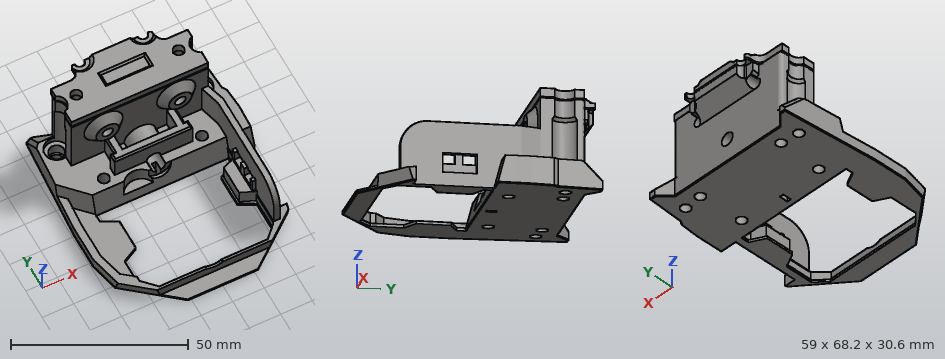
import cadquery as cq
import math


rear_y = 17.5
lip_front_y = -50.65
clearance = 2.05
base_top_z = 8.2
rim_top_z = 3.95
underside_chamfer = 0.3
floor_z = 0.9
block_top_z = 27.75
plate_top_z = 30.6

base_half_width = 29.45
tail_y = 16.85
tail_outer_x = 27.2
tail_inner_x = 25.1
tail_rear_z = 2.5
tail_bevel = 1.5
tail_bevel_width = 1.15
base_front_top_y = -11.45
base_front_bottom_y = -13.6
corner_cut_top_y = -3.5
corner_cut_bottom_y = -5.65
base_widest_y = -4.1
base_shoulder = [(28.9, 2.6), (28.0, 3.95)]
right_taper = 0.3
opening_half_width = 21.0

rim_half_width = 29.5
rim_straight_y = (-16.5, -28.35)
rim_side_slope = 0.24
rim_front_y = -45.75
rim_front_top_x = 18.3
rim_front_bottom_x = 17.2
rim_diagonal_slope = 0.81
rim_inner_front_y = -44.85
rim_width = 2.45
rim_inner_corner = (-25.1, -36.05)
rim_inner_x = 21.2
rim_inner_y = -39.1
rim_rear_y = -3.4
right_gap_front_y = -36.7

opening_front_y = -44.4
opening_corner = (17.2, -40.7)
tab_tip_x = 16.1
tab_tip_y = (-18.55, -28.5)
tab_root_y = (-16.0, -31.1)

wall_inner_x = 21.5
wall_outer_x = 23.45
wall_top_z = 18.7
wall_front_y = -40.35
wall_bend_y = (-5.8, -6.5)
wall_root_x = (19.6, 21.7)
wall_corner_radius = 7.85
latch_tip_x = 16.8
latch_tip_y = (-18.8, -28.2)
latch_root_y = (-16.9, -30.2)
latch_top_z = 5.6
latch_frame_x = 20.3
latch_frame_y = (-29.4, -17.2)
latch_frame_top_z = 10.3
window_z = (6.75, 9.6)
window_spans = ((-22.3, -18.5), (-28.3, -24.5))
wall_pocket_x = 22.3

block_half_width = 21.7
block_rear_y = 12.9
block_rear_radius = 1.35
nose_x = 11.5
nose_radius = 6.15
nose_tip_radius = 3.6
nose_z = block_top_z - nose_radius
bolt_diameter = 3.4
overhang_z = 24.55
overhang_half_width = 12.75
brace_inset = 0.8
ear_clearance_y = 15.3

guard_half_width = 12.35
guard_y = (-8.4, -5.6)
guard_rear_y = -5.85
guard_arm_x = (8.6, 11.2)
guard_top_z = 15.4
guard_chamfer = 0.55
hub_radius = 5.0
hub_bore_diameter = 4.4
hub_recess_diameter = 7.9
drain_width = 1.35
drain_rear_y = -8.5
scoop_x = -7.0
scoop_y = -14.65
scoop_radius = 5.05
scoop_floor_z = 3.4

plate_bolt = (16.2, 7.6)
front_bolt = (15.55, -8.0)
side_bolt = (22.8, 6.95)
side_recess_diameter = 7.5
side_recess_floor_z = 6.5
side_step_diameter = 4.7
side_step_floor_z = 2.7
side_relief_diameter = 6.2
side_relief_z = (21.55, 22.6)

plate_rear_y = 12.55
plate_seat_chamfer = 0.35
neck_radius = 2.7
ear_radius = 0.7
notch_x = 10.0
notch_diameter = 3.15
notch_seat_radius = 2.9
notch_seat_depth = 1.1
label_half_width = 7.5
label_y = (6.3, 11.2)
label_depth = 0.5
label_slope_width = 0.7


def prism(points, bottom, top):
    return cq.Workplane("XY").workplane(offset=bottom).polyline(points).close().extrude(top - bottom)


def box(x, y, z):
    """Box from (low, high) pairs along each axis."""
    size = (x[1] - x[0], y[1] - y[0], z[1] - z[0])
    return cq.Workplane("XY").box(*size, centered=False).translate((x[0], y[0], z[0]))


def upright_cylinder(center, diameter, bottom, top):
    plane = cq.Workplane("XY", origin=(*center, bottom))
    return plane.circle(diameter / 2).extrude(top - bottom)


def lengthwise_cylinder(x, z, radius, front, rear):
    return cq.Workplane("XZ", origin=(x, rear, z)).circle(radius).extrude(rear - front)


def tapered(bottom_points, top_points, bottom, top):
    """Solid with flat sides between two outlines that have matching corners."""
    lower = cq.Workplane("XY").workplane(offset=bottom).polyline(bottom_points).close()
    return lower.workplane(offset=top - bottom).polyline(top_points).close().loft(ruled=True)


def mirrored(right_points):
    """Closed symmetric outline from its right half, listed front to rear."""
    return right_points + [(-x, y) for x, y in reversed(right_points)]


def left_edge_x(y):
    """Left outer edge of the base and the rim behind the straight stretch."""
    slope = (rim_half_width - tail_outer_x) / (tail_y - rim_straight_y[0])
    return -tail_outer_x - slope * (tail_y - y)


def rim_corner(front_x):
    """Corner between the side facet and the diagonal facet that starts at front_x."""
    start_x = rim_half_width - rim_side_slope * (rim_straight_y[1] - rim_front_y)
    x = (start_x - rim_side_slope * rim_diagonal_slope * front_x) / (1 - rim_side_slope * rim_diagonal_slope)
    return x, rim_front_y + rim_diagonal_slope * (x - front_x)


def rim_side(front_x):
    return [
        rim_corner(front_x),
        (rim_half_width, rim_straight_y[1]),
        (rim_half_width, rim_straight_y[0]),
        (-left_edge_x(rim_rear_y), rim_rear_y),
    ]


def rim_outline(front_x):
    return mirrored([(front_x, rim_front_y)] + rim_side(front_x))


def make_rim():
    lip_front_x = rim_front_bottom_x - (rim_front_y - lip_front_y) / rim_diagonal_slope
    plate = mirrored([(lip_front_x, lip_front_y)] + rim_side(rim_front_bottom_x))
    rim = prism(plate, 0, floor_z).faces("<Z").chamfer(underside_chamfer)
    bottom_outline = rim_outline(rim_front_bottom_x)
    top_outline = rim_outline(rim_front_top_x)
    rim = rim.union(tapered(bottom_outline, top_outline, underside_chamfer, rim_top_z))

    inner = [
        (left_edge_x(rim_rear_y) + rim_width, rim_rear_y),
        (-rim_half_width + rim_width, rim_straight_y[0]),
        (-rim_half_width + rim_width, rim_straight_y[1]),
        rim_inner_corner,
        (-rim_inner_x, rim_inner_y),
        (-rim_inner_x, opening_corner[1]),
        (-opening_corner[0], rim_inner_front_y),
        (opening_corner[0], rim_inner_front_y),
        (rim_inner_x, opening_corner[1]),
        (rim_inner_x, rim_rear_y),
    ]
    rim = rim.cut(prism(inner, floor_z, rim_top_z))

    opening = mirrored([
        (opening_corner[0], opening_front_y),
        (opening_half_width, opening_corner[1]),
        (opening_half_width, tab_root_y[1]),
        (tab_tip_x, tab_tip_y[1]),
        (tab_tip_x, tab_tip_y[0]),
        (opening_half_width, tab_root_y[0]),
        (opening_half_width, rim_rear_y),
    ])
    rim = rim.cut(prism(opening, 0, rim_top_z))

    rim = rim.cut(box((wall_outer_x, rim_half_width), (right_gap_front_y, rim_rear_y), (0, rim_top_z)))

    return rim.cut(lengthwise_cylinder(0, base_top_z, hub_radius, rim_front_y, rim_inner_front_y))


def base_outline(front_y, corner_cut_y, right_x):
    return [
        (-tail_outer_x, tail_y),
        (left_edge_x(corner_cut_y), corner_cut_y),
        (-opening_half_width, front_y),
        (right_x, front_y),
        (base_half_width, base_widest_y),
        *base_shoulder,
        (tail_outer_x, tail_y),
        (tail_inner_x, tail_y),
        (tail_inner_x - (tail_y - block_rear_y), block_rear_y),
        (-tail_inner_x + (tail_y - block_rear_y), block_rear_y),
        (-tail_inner_x, tail_y),
    ]


def make_base():
    base = tapered(
        base_outline(base_front_bottom_y, corner_cut_bottom_y, base_half_width),
        base_outline(base_front_top_y, corner_cut_top_y, base_half_width - right_taper),
        0,
        base_top_z,
    )
    base = base.faces("<Z").chamfer(underside_chamfer)
    slope_run = base_top_z - tail_rear_z
    slope = (
        cq.Workplane("YZ", origin=(-base_half_width, 0, 0))
        .polyline([(tail_y - slope_run, base_top_z), (tail_y, base_top_z), (tail_y, tail_rear_z)])
        .close()
        .extrude(2 * base_half_width)
    )
    side_points = [
        (-clearance, -tail_bevel),
        (0, -tail_bevel),
        (tail_bevel_width, 0),
        (tail_bevel_width, clearance),
        (-clearance, clearance),
    ]
    shift = slope_run + tail_bevel
    bevel = (
        cq.Workplane("XZ", origin=(-tail_outer_x, tail_y, tail_rear_z))
        .polyline(side_points)
        .close()
        .workplane(offset=shift)
        .center(left_edge_x(tail_y - shift) + tail_outer_x, shift)
        .polyline(side_points)
        .close()
        .loft(ruled=True)
    )
    return base.cut(slope).cut(bevel)


def make_block():
    block = box((-block_half_width, block_half_width), (0, block_rear_y), (floor_z, block_top_z))
    block = block.edges("|Z and >Y").fillet(block_rear_radius)

    overhang_root_z = overhang_z - (rear_y - block_rear_y)
    overhang = (
        cq.Workplane("YZ", origin=(-overhang_half_width, 0, 0))
        .polyline([
            (block_rear_y, overhang_root_z),
            (rear_y, overhang_z),
            (rear_y, block_top_z),
            (block_rear_y, block_top_z),
        ])
        .close()
        .extrude(2 * overhang_half_width)
    )
    block = block.union(overhang)

    for side in (-1, 1):
        nose = (
            cq.Workplane("XZ", origin=(side * nose_x, 0, nose_z))
            .circle(nose_radius)
            .workplane(offset=nose_radius - nose_tip_radius)
            .circle(nose_tip_radius)
            .loft()
        )
        block = block.union(nose)

        notch_span = sorted((side * notch_x, side * overhang_half_width))
        block = block.cut(box(notch_span, (ear_clearance_y, rear_y), (overhang_root_z, block_top_z)))
        center = (side * notch_x, rear_y)
        block = block.cut(upright_cylinder(center, notch_diameter, overhang_root_z, block_top_z))

        brace_side = (
            cq.Workplane("XZ", origin=(side * overhang_half_width, rear_y, overhang_z))
            .polyline([
                (0, 0),
                (-side * brace_inset, -brace_inset),
                (-side * brace_inset, overhang_root_z - overhang_z),
                (0, overhang_root_z - overhang_z),
            ])
            .close()
            .extrude(rear_y - block_rear_y)
        )
        block = block.cut(brace_side)
    return block


def make_guard():
    z = (base_top_z, guard_top_z)
    guard = box((-guard_half_width, guard_half_width), guard_y, z)
    guard = guard.union(box((-guard_arm_x[1], guard_arm_x[1]), (guard_rear_y, clearance), z))
    guard = guard.faces(">Z").chamfer(guard_chamfer)
    return guard.cut(box((-guard_arm_x[0], guard_arm_x[0]), (guard_rear_y, clearance), z))


def make_wall():
    outline = [
        (wall_root_x[0], 0),
        (wall_root_x[1], 0),
        (wall_outer_x, wall_bend_y[0]),
        (wall_outer_x, wall_front_y),
        (wall_inner_x, wall_front_y),
        (wall_inner_x, wall_bend_y[1]),
    ]
    wall = prism(outline, 0, wall_top_z)
    wall = wall.faces("<Y").edges(">Z").fillet(wall_corner_radius)

    latch_outline = [
        (wall_inner_x, latch_root_y[0]),
        (latch_tip_x, latch_tip_y[0]),
        (latch_tip_x, latch_tip_y[1]),
        (wall_inner_x, latch_root_y[1]),
    ]
    frame = box((latch_frame_x, wall_inner_x), latch_frame_y, (latch_top_z, latch_frame_top_z))
    wall = wall.union(prism(latch_outline, 0, latch_top_z)).union(frame)

    for span in window_spans:
        wall = wall.cut(box((latch_frame_x, wall_outer_x), span, window_z))
        wall = wall.cut(box((latch_frame_x, wall_inner_x), span, (window_z[0], latch_frame_top_z)))
    pocket_y = (window_spans[1][0], window_spans[0][1])
    wall = wall.cut(box((wall_pocket_x, wall_outer_x), pocket_y, (rim_top_z, window_z[1])))
    return wall


def side_relief(side):
    """Clearance above a side bolt: wide below, narrow above, with a cone between."""
    center = (side * side_bolt[0], side_bolt[1])
    wide = side * side_recess_diameter / 2
    narrow = side * side_relief_diameter / 2
    profile = [
        (0, base_top_z),
        (wide, base_top_z),
        (wide, side_relief_z[0]),
        (narrow, side_relief_z[1]),
        (narrow, plate_top_z),
        (0, plate_top_z),
    ]
    relief = cq.Workplane("XZ").polyline(profile).close().revolve(360, (0, 0, 0), (0, 1, 0))
    return relief.translate((*center, 0))


def cut_bolt_holes(body):
    for side in (-1, 1):
        for x, y in (plate_bolt, front_bolt, side_bolt):
            body = body.cut(upright_cylinder((side * x, y), bolt_diameter, 0, block_top_z))
        center = (side * side_bolt[0], side_bolt[1])
        body = body.cut(upright_cylinder(center, side_step_diameter, side_step_floor_z, base_top_z))
        body = body.cut(upright_cylinder(center, side_recess_diameter, side_recess_floor_z, base_top_z))
        body = body.cut(side_relief(side))
        body = body.cut(lengthwise_cylinder(side * nose_x, nose_z, bolt_diameter / 2, guard_rear_y, rear_y))
    return body


def cut_hub(body):
    body = body.cut(
        lengthwise_cylinder(0, base_top_z, hub_bore_diameter / 2, base_front_bottom_y, block_rear_y)
    )
    body = body.cut(
        lengthwise_cylinder(0, base_top_z, hub_recess_diameter / 2, base_front_bottom_y, base_front_top_y)
    )
    half = drain_width / 2
    body = body.cut(box((-half, half), (base_front_top_y, drain_rear_y), (0, base_top_z)))
    return body.cut(upright_cylinder((scoop_x, scoop_y), 2 * scoop_radius, scoop_floor_z, base_top_z))


def make_housing():
    body = make_base().union(make_rim()).union(make_block()).union(make_wall()).union(make_guard())
    body = body.union(lengthwise_cylinder(0, base_top_z, hub_radius, guard_rear_y, 0))
    return cut_hub(cut_bolt_holes(body))


def make_clamp_plate():
    bend = neck_radius * math.sqrt(0.5)
    arc_x = overhang_half_width + neck_radius
    arc_y = plate_rear_y + neck_radius
    plate = (
        cq.Workplane("XY", origin=(0, 0, block_top_z))
        .moveTo(-block_half_width, 0)
        .lineTo(block_half_width, 0)
        .lineTo(block_half_width, plate_rear_y)
        .lineTo(arc_x, plate_rear_y)
        .threePointArc((arc_x - bend, arc_y - bend), (overhang_half_width, arc_y))
        .lineTo(overhang_half_width, rear_y)
        .lineTo(-overhang_half_width, rear_y)
        .lineTo(-overhang_half_width, arc_y)
        .threePointArc((bend - arc_x, arc_y - bend), (-arc_x, plate_rear_y))
        .lineTo(-block_half_width, plate_rear_y)
        .close()
        .extrude(plate_top_z - block_top_z)
    )
    plate = plate.edges("|Z and >Y").fillet(ear_radius)
    for side in (-1, 1):
        plate = plate.cut(side_relief(side))
    plate = plate.faces("<Z").edges().chamfer(plate_seat_chamfer)

    for side in (-1, 1):
        bolt_center = (side * plate_bolt[0], plate_bolt[1])
        plate = plate.cut(upright_cylinder(bolt_center, bolt_diameter, block_top_z, plate_top_z))

        center = (side * notch_x, rear_y)
        plate = plate.cut(upright_cylinder(center, notch_diameter, block_top_z, plate_top_z))
        seat = (
            cq.Workplane("XY", origin=(*center, plate_top_z - notch_seat_depth))
            .circle(notch_seat_radius)
            .workplane(offset=notch_seat_depth)
            .circle(notch_seat_radius + notch_seat_depth)
            .loft()
        )
        plate = plate.cut(seat)

    label_recess = (
        cq.Workplane("XY", origin=(0, sum(label_y) / 2, plate_top_z))
        .rect(2 * label_half_width, label_y[1] - label_y[0])
        .extrude(-label_depth, taper=math.degrees(math.atan(label_slope_width / label_depth)))
    )
    return plate.cut(label_recess)


housing = make_housing()
clamp_plate = make_clamp_plate()
result = cq.Compound.makeCompound([housing.solids().val(), clamp_plate.solids().val()])